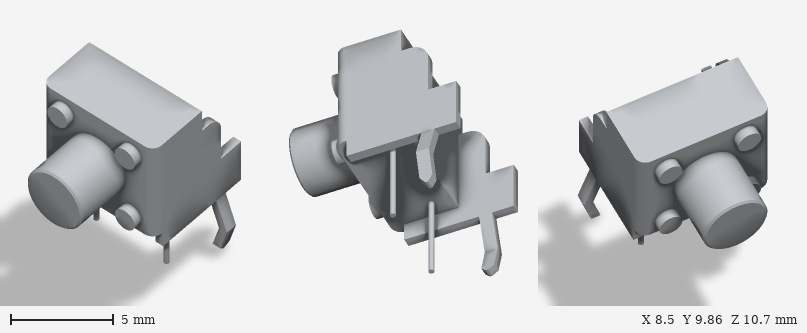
import cadquery as cq


total_height = 10.7
body_width = 7.18
body_depth = 3.6
body_bottom = 4.49
corner_radius = 0.6

button_diameter = 3.5
button_length = 3.3
button_chamfer = 0.11
button_height = 7.49
boss_diameter = 1.25
boss_length = 0.5
boss_offset = 2.15

plate_thickness = 0.5
plate_front = 0.7
plate_back = 6.56
plate_bottom = 3.5
foot_top = 6.2
shoulder_back = 5.05
shoulder_top = 9.3
shoulder_radius = 1.0

leg_width = 0.7
leg_center_y = shoulder_back
knee_height = 1.68
knee_x = 4.25
tip_x = 3.76
tip_chamfer_width = 0.28
tip_chamfer_height = 0.3

pin_diameter = 0.3
pin_x = 2.24
pin_y = 2.55


def make_housing():
    height = total_height - body_bottom
    block = (
        cq.Workplane("XY")
        .workplane(offset=body_bottom)
        .box(body_width, body_depth, height, centered=(True, False, False))
    )
    return block.edges("|Z and <Y").fillet(corner_radius)


def front_cylinder(x, z, diameter, length):
    """Cylinder standing on the front face and pointing toward -Y."""
    return cq.Workplane("XZ").center(x, z).circle(diameter / 2).extrude(length)


def make_button():
    button = front_cylinder(0, button_height, button_diameter, button_length)
    return button.faces("<Y").chamfer(button_chamfer)


def make_plate():
    """Stepped side plate on the +X side."""
    return (
        cq.Workplane("YZ")
        .workplane(offset=body_width / 2 - plate_thickness)
        .moveTo(plate_front, plate_bottom)
        .lineTo(plate_back, plate_bottom)
        .lineTo(plate_back, foot_top)
        .lineTo(shoulder_back, foot_top)
        .lineTo(shoulder_back, shoulder_top - shoulder_radius)
        .radiusArc((shoulder_back - shoulder_radius, shoulder_top), -shoulder_radius)
        .lineTo(plate_front, shoulder_top)
        .close()
        .extrude(plate_thickness)
    )


def make_leg():
    """Bent leg on the +X side, with its tip narrowed by two chamfers."""
    outer = [(body_width / 2, plate_bottom), (knee_x, knee_height), (tip_x, 0)]
    inner = [(x - plate_thickness, z) for x, z in reversed(outer)]
    bent_strip = (
        cq.Workplane("XZ", origin=(0, leg_center_y, 0))
        .polyline(outer + inner)
        .close()
        .extrude(leg_width / 2, both=True)
    )
    half_width = leg_width / 2
    half_tip = half_width - tip_chamfer_width
    side_outline = (
        cq.Workplane("YZ", origin=(0, leg_center_y, 0))
        .polyline([
            (-half_tip, 0),
            (half_tip, 0),
            (half_width, tip_chamfer_height),
            (half_width, plate_bottom),
            (-half_width, plate_bottom),
            (-half_width, tip_chamfer_height),
        ])
        .close()
        .extrude(knee_x)
    )
    return bent_strip.intersect(side_outline)


def make_pin(x):
    return cq.Workplane("XY").center(x, pin_y).circle(pin_diameter / 2).extrude(body_bottom)


right_side = make_plate().union(make_leg())
result = make_housing().union(make_button())
result = result.union(right_side).union(right_side.mirror("YZ"))

for side in (-1, 1):
    result = result.union(make_pin(side * pin_x))
    for level in (-1, 1):
        boss_z = button_height + level * boss_offset
        result = result.union(front_cylinder(side * boss_offset, boss_z, boss_diameter, boss_length))